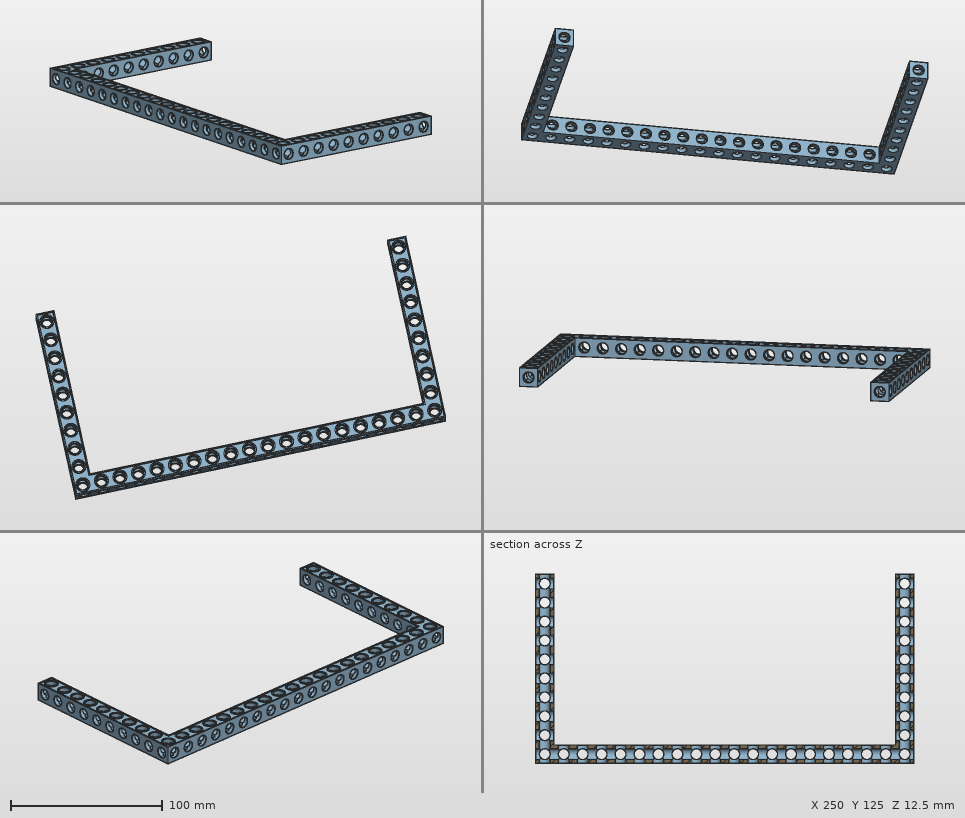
import cadquery as cq

length = 250.0
depth = 125.0
height = 12.5
bar_width = 12.2

holes_along_length = 20
holes_along_depth = 10
hole_diameter = 7.0
mouth_diameter = 7.5
mouth_depth = 0.2

rim_width = 0.9
recess_depth = 0.2
ring_diameter = 9.2

first_hole = bar_width / 2
pitch = (length - bar_width) / (holes_along_length - 1)
mid_height = height / 2
columns = [first_hole + pitch * i for i in range(holes_along_length)]
rows = [first_hole + pitch * i for i in range(holes_along_depth)]
base_holes = [(x, first_hole) for x in columns]
leg_holes = [(x, y) for x in (columns[0], columns[-1]) for y in rows[1:]]
top_holes = base_holes + leg_holes


def u_shape(inset, bottom, thickness):
    """U-shaped slab whose outline lies the inset distance inside the frame outline."""
    left, right = inset, length - inset
    front, back = inset, depth - inset
    inner_edge = bar_width - inset
    outline = [
        (left, front),
        (right, front),
        (right, back),
        (length - inner_edge, back),
        (length - inner_edge, inner_edge),
        (inner_edge, inner_edge),
        (inner_edge, back),
        (left, back),
    ]
    return cq.Workplane("XY").workplane(offset=bottom).polyline(outline).close().extrude(thickness)


def cylinders_z(diameter, start, end):
    """Upright cylinders at every hole of the top face."""
    plane = cq.Workplane("XY").workplane(offset=start)
    return plane.pushPoints(top_holes).circle(diameter / 2).extrude(end - start)


def cylinders_y(xs, diameter, start, end):
    """Cylinders along Y at mid height, at the given X places."""
    plane = cq.Workplane("XZ").workplane(offset=-start)
    return plane.pushPoints([(x, mid_height) for x in xs]).circle(diameter / 2).extrude(start - end)


def cylinders_x(ys, diameter, start, end):
    """Cylinders along X at mid height, at the given Y places."""
    plane = cq.Workplane("YZ").workplane(offset=start)
    return plane.pushPoints([(y, mid_height) for y in ys]).circle(diameter / 2).extrude(end - start)


floor_height = height - recess_depth
recess = u_shape(rim_width, floor_height, recess_depth)
recess = recess.cut(cylinders_z(ring_diameter, floor_height, height))
frame = u_shape(0, 0, height).cut(recess)

frame = frame.cut(cylinders_z(hole_diameter, 0, height))
frame = frame.cut(cylinders_y(columns, hole_diameter, 0, depth))
frame = frame.cut(cylinders_x(rows, hole_diameter, 0, length))

frame = frame.cut(cylinders_z(mouth_diameter, height - mouth_depth, height))

frame = frame.cut(cylinders_y(columns, mouth_diameter, 0, mouth_depth))
frame = frame.cut(cylinders_y(columns[1:-1], mouth_diameter, bar_width - mouth_depth, bar_width))
leg_columns = [columns[0], columns[-1]]
frame = frame.cut(cylinders_y(leg_columns, mouth_diameter, depth - mouth_depth, depth))

for outer_start, inner_end in ((0, bar_width), (length - mouth_depth, length - bar_width + mouth_depth)):
    frame = frame.cut(cylinders_x(rows, mouth_diameter, outer_start, outer_start + mouth_depth))
    frame = frame.cut(cylinders_x(rows[1:], mouth_diameter, inner_end - mouth_depth, inner_end))

result = frame